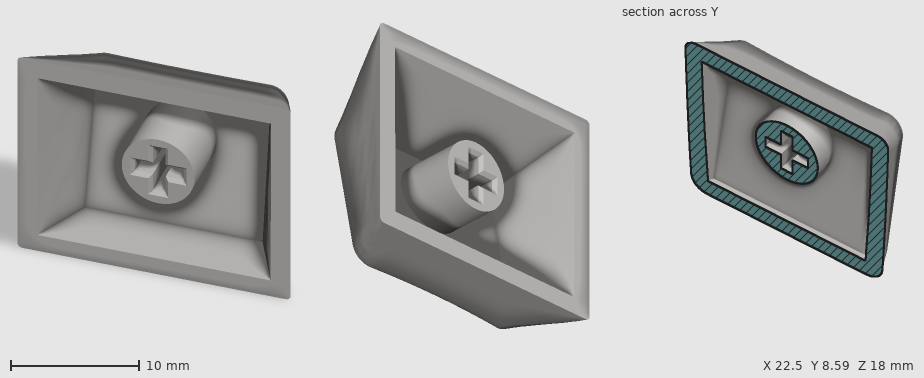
import cadquery as cq
import math


rim_width = 22.5
rim_height = 18.0
rim_corner_radius = 0.4

crown_width = 16.5
crown_corner_radius = 1.7
crown_tilt = 11.3
crown_top_z = 4.72
crown_top_y = 8.75
section_count = 9

dish_depth = 0.45
dish_edge_radius = 0.3

wall = 1.5

stem_diameter = 6.0
stem_recess = 1.0
cross_length = 4.04
cross_arm_width = 1.04
lead_in = 0.3
lead_in_angle = 45

rim_top_z = rim_height / 2
bottom_z = -rim_height / 2
tilt = math.radians(crown_tilt)
lead_in_depth = lead_in / math.tan(math.radians(lead_in_angle))
crown_bottom_y = crown_top_y - (crown_top_z - bottom_z) * math.tan(tilt)

stem_face = cq.Plane((0, stem_recess, 0), (1, 0, 0), (0, -1, 0))


def blend(start, end, fraction):
    """Linear interpolation from start to end."""
    return start + (end - start) * fraction


def section(fraction):
    """Square-cornered outline of the cap, from the rim (fraction 0) to the crown (fraction 1)."""
    half_width = blend(rim_width, crown_width, fraction) / 2
    top_y = blend(0, crown_top_y, fraction)
    top_z = blend(rim_top_z, crown_top_z, fraction)
    bottom_y = blend(0, crown_bottom_y, fraction)
    corners = [
        cq.Vector(-half_width, bottom_y, bottom_z),
        cq.Vector(half_width, bottom_y, bottom_z),
        cq.Vector(half_width, top_y, top_z),
        cq.Vector(-half_width, top_y, top_z),
    ]
    return cq.Wire.makePolygon(corners, close=True)


def rounded_body():
    """Solid cap whose corner radius eases from the rim value to the crown value."""
    outlines = []
    for index in range(section_count):
        fraction = index / (section_count - 1)
        ease = fraction**2 * (3 - 2 * fraction)
        radius = blend(rim_corner_radius, crown_corner_radius, ease)
        outline = section(fraction)
        outlines.append(outline.fillet2D(radius, outline.Vertices()))
    return cq.Workplane(obj=cq.Solid.makeLoft(outlines))


def dish():
    """Cylinder that hollows the crown across its width, with its axis parallel to the crown."""
    radius = ((crown_width / 2) ** 2 + dish_depth**2) / (2 * dish_depth)
    length = 4 * rim_height
    along = cq.Vector(0, math.sin(tilt), math.cos(tilt))
    outward = cq.Vector(0, math.cos(tilt), -math.sin(tilt))
    crown_top = cq.Vector(0, crown_top_y, crown_top_z)
    start = crown_top + outward * (radius - dish_depth) - along * (length / 2)
    return cq.Workplane(obj=cq.Solid.makeCylinder(radius, length, start, along))


def cavity():
    """Hollow that leaves an even wall inside the square-cornered cap."""
    block = cq.Workplane(obj=cq.Solid.makeLoft([section(0), section(1)], True))
    walls = block.faces("<Y").shell(-wall, kind="intersection")
    return block.cut(walls)


def stem():
    """Round post with a chamfered cross socket; both are longer than the cavity is deep."""
    post = cq.Workplane(stem_face).circle(stem_diameter / 2).extrude(-crown_top_y)
    for across, along in ((cross_length, cross_arm_width), (cross_arm_width, cross_length)):
        arm = cq.Workplane(stem_face).rect(across, along).extrude(-crown_top_y)
        mouth = (
            cq.Workplane(stem_face)
            .rect(across + 2 * lead_in, along + 2 * lead_in)
            .extrude(-lead_in_depth, taper=lead_in_angle)
        )
        post = post.cut(arm).cut(mouth)
    return post


body = rounded_body().cut(dish())
body = body.faces(">Y").edges().fillet(dish_edge_radius)
room = cavity()
result = body.cut(room).union(stem().intersect(room))